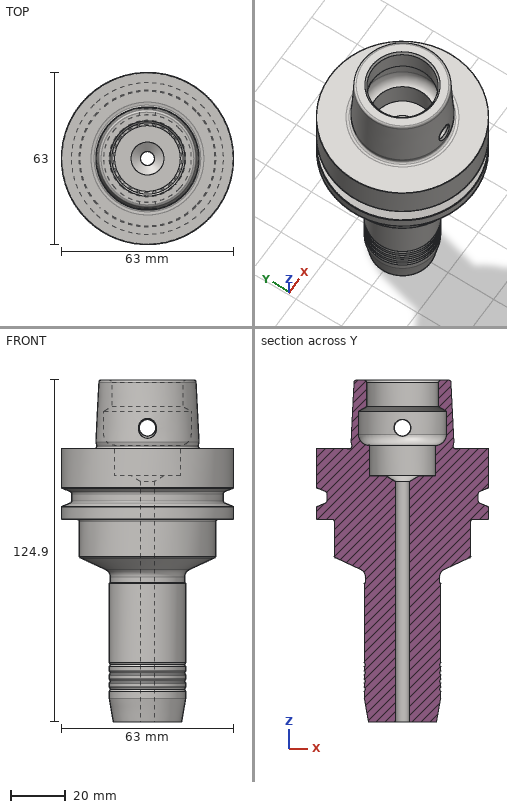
import cadquery as cq
import math


shank_height = 25.0
shank_base_radius = 19.0
taper_per_side = 0.05
shank_top_fillet = 0.9

relief_top_z = 2.2
relief_radius = 18.6
relief_neck_top_z = 1.1
relief_fillet = 0.9
dish_depth = 0.1
dish_radius = 20.6

flange_radius = 31.5
flange_height = 26.0
flange_top_chamfer = 0.1
flange_chamfer = 0.2
groove_center_z = -17.9
groove_floor_radius = 27.7
groove_floor_width = 3.7
groove_flank_angle = 22.0
groove_fillet = 0.9

body_radius = 25.0
body_fillet = 0.7
body_chamfer = 0.4
cone_angle = 25.0
cone_fillet = 3.0

neck_radius = 13.6
neck_top_z = -47.0
neck_bottom_z = -49.0
sleeve_radius = 14.0
tip_radius = 12.5
tip_length = 8.6
total_height = 124.9
tip_z = shank_height - total_height

ring_count = 4
ring_pitch = 3.0
first_ring_z = -78.9
ring_width = 1.5
ring_depth = 0.4

mouth_radius = 13.7
mouth_chamfer_depth = 0.9
lip_radius = 13.0
lip_depth = 9.7
lip_back_angle = 30.0
socket_radius = 16.0
ledge_z = 1.1
ledge_fillet = 4.0
inner_bore_radius = socket_radius - ledge_fillet
inner_floor_z = -10.0

countersink_radius = 6.0
through_radius = 2.5
drill_point_angle = 118.0

cross_hole_z = 7.5
cross_hole_radius = 3.0
cross_countersink_radius = 3.6


def tangent(degrees):
    return math.tan(math.radians(degrees))


def shank_radius(z):
    return shank_base_radius - taper_per_side * z


def revolve_about_z(profile):
    return profile.close().revolve(360, (0, 0), (0, 1))


def outer_solid():
    shank_edge_z = shank_height - shank_top_fillet
    shank_edge_radius = shank_radius(shank_edge_z)

    lean = math.radians(cone_angle)
    cone_end_radius = neck_radius + cone_fillet * (1 - math.sin(lean))
    cone_end_z = neck_top_z + cone_fillet * math.cos(lean)
    cone_start_radius = body_radius - body_chamfer
    cone_start_z = cone_end_z + (cone_start_radius - cone_end_radius) * tangent(cone_angle)

    profile = (
        cq.Workplane("XZ")
        .moveTo(0, shank_height)
        .lineTo(shank_edge_radius - shank_top_fillet, shank_height)
        .radiusArc((shank_edge_radius, shank_edge_z), shank_top_fillet)
        .lineTo(shank_radius(relief_top_z), relief_top_z)
        .lineTo(relief_radius, relief_neck_top_z)
        .lineTo(relief_radius, relief_fillet - dish_depth)
        .radiusArc((relief_radius + relief_fillet, -dish_depth), -relief_fillet)
        .lineTo(dish_radius, 0)
        .lineTo(flange_radius - flange_top_chamfer, 0)
        .lineTo(flange_radius, -flange_top_chamfer)
        .lineTo(flange_radius, flange_chamfer - flange_height)
        .lineTo(flange_radius - flange_chamfer, -flange_height)
        .lineTo(body_radius + body_fillet, -flange_height)
        .radiusArc((body_radius, -flange_height - body_fillet), -body_fillet)
        .lineTo(body_radius, cone_start_z + body_chamfer)
        .lineTo(cone_start_radius, cone_start_z)
        .lineTo(cone_end_radius, cone_end_z)
        .radiusArc((neck_radius, neck_top_z), -cone_fillet)
        .lineTo(neck_radius, neck_bottom_z)
        .lineTo(sleeve_radius, neck_bottom_z - (sleeve_radius - neck_radius))
        .lineTo(sleeve_radius, tip_z + tip_length)
        .lineTo(tip_radius, tip_z)
        .lineTo(0, tip_z)
    )
    return revolve_about_z(profile)


def flange_groove():
    slope = tangent(groove_flank_angle)
    half_floor = groove_floor_width / 2
    lean = math.radians(groove_flank_angle)
    fillet_reach = groove_fillet * math.tan((math.pi / 2 - lean) / 2)
    fillet_flat = half_floor - fillet_reach
    fillet_end_radius = groove_floor_radius + fillet_reach * math.cos(lean)
    fillet_end = half_floor + fillet_reach * math.sin(lean)
    chamfer_radius = flange_radius - flange_chamfer
    flank_end = half_floor + (chamfer_radius - groove_floor_radius) * slope
    mouth = flank_end + flange_chamfer

    profile = (
        cq.Workplane("XZ", origin=(0, 0, groove_center_z))
        .moveTo(flange_radius, mouth)
        .lineTo(chamfer_radius, flank_end)
        .lineTo(fillet_end_radius, fillet_end)
        .radiusArc((groove_floor_radius, fillet_flat), -groove_fillet)
        .lineTo(groove_floor_radius, -fillet_flat)
        .radiusArc((fillet_end_radius, -fillet_end), -groove_fillet)
        .lineTo(chamfer_radius, -flank_end)
        .lineTo(flange_radius, -mouth)
    )
    return revolve_about_z(profile)


def ring_groove(center_z):
    profile = (
        cq.Workplane("XZ", origin=(0, 0, center_z))
        .moveTo(sleeve_radius, ring_width / 2)
        .lineTo(sleeve_radius - ring_depth, 0)
        .lineTo(sleeve_radius, -ring_width / 2)
    )
    return revolve_about_z(profile)


def inner_void():
    lip_bottom_z = shank_height - lip_depth
    lip_back_z = lip_bottom_z - (socket_radius - lip_radius) * tangent(lip_back_angle)
    point_depth = (countersink_radius - through_radius) / tangent(drill_point_angle / 2)
    profile = (
        cq.Workplane("XZ")
        .moveTo(0, shank_height)
        .lineTo(mouth_radius, shank_height)
        .lineTo(lip_radius, shank_height - mouth_chamfer_depth)
        .lineTo(lip_radius, lip_bottom_z)
        .lineTo(socket_radius, lip_back_z)
        .lineTo(socket_radius, ledge_z + ledge_fillet)
        .radiusArc((inner_bore_radius, ledge_z), ledge_fillet)
        .lineTo(inner_bore_radius, inner_floor_z)
        .lineTo(countersink_radius, inner_floor_z)
        .lineTo(through_radius, inner_floor_z - point_depth)
        .lineTo(through_radius, tip_z)
        .lineTo(0, tip_z)
    )
    return revolve_about_z(profile)


def cross_hole():
    wall = shank_radius(cross_hole_z)
    countersink_start = wall - (cross_countersink_radius - cross_hole_radius)
    overshoot = 1.2
    mouth_y = wall + overshoot
    outline = (
        cq.Workplane("YZ", origin=(0, 0, cross_hole_z))
        .moveTo(-mouth_y, 0)
        .lineTo(-mouth_y, cross_countersink_radius + overshoot)
        .lineTo(-countersink_start, cross_hole_radius)
        .lineTo(countersink_start, cross_hole_radius)
        .lineTo(mouth_y, cross_countersink_radius + overshoot)
        .lineTo(mouth_y, 0)
        .close()
    )
    return outline.revolve(360, (0, 0), (1, 0))


result = outer_solid().cut(flange_groove()).cut(inner_void()).cut(cross_hole())
for index in range(ring_count):
    result = result.cut(ring_groove(first_ring_z - index * ring_pitch))